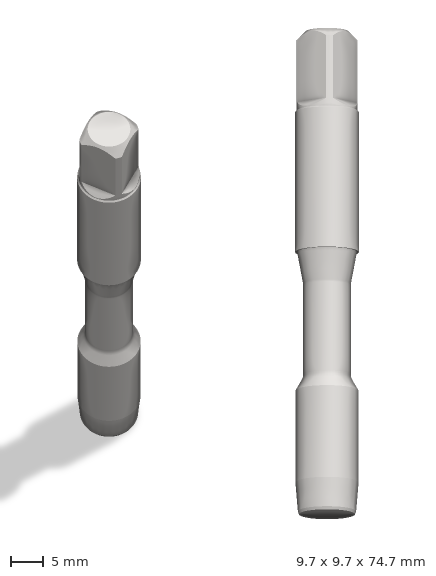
import cadquery as cq
import math


head_diameter = 9.6
head_length = 19.1
lead_length = 4.9
lead_end_diameter = 8.9
tip_chamfer_height = 0.45
tip_diameter = 8.5

neck_diameter = 7.25
neck_fillet_radius = 1.5
lower_taper_angle = 30
upper_taper_diameter = 9.1
upper_taper_top_z = 40.55
upper_taper_angle = 10.6

total_length = 74.7
shank_diameter = 9.7
shank_top_z = 62.2
shank_chamfer = 0.2
drive_diameter = shank_diameter - 2 * shank_chamfer
drive_width = 7.25
drive_flat_bottom_z = 63.65
drive_tip_diameter = 6.5


def taper_height(large_diameter, angle):
    """Height of a cone between a large diameter and the neck."""
    return (large_diameter - neck_diameter) / 2 / math.tan(math.radians(angle))


def fillet_points(corner_z, angle, direction):
    """Neck, middle and taper points of the fillet arc; direction points from taper to neck."""
    turn = math.radians(angle)
    center_radius = neck_diameter / 2 + neck_fillet_radius
    center_z = corner_z + direction * neck_fillet_radius * math.tan(turn / 2)
    return [
        (
            center_radius - neck_fillet_radius * math.cos(t),
            center_z - direction * neck_fillet_radius * math.sin(t),
        )
        for t in (0, turn / 2, turn)
    ]


def make_cutting_head():
    return (
        cq.Workplane("XZ")
        .polyline([
            (0, 0),
            (tip_diameter / 2, 0),
            (lead_end_diameter / 2, tip_chamfer_height),
            (head_diameter / 2, lead_length),
            (head_diameter / 2, head_length),
            (0, head_length),
        ])
        .close()
        .revolve(360, (0, 0), (0, 1))
    )


def make_shank_blank():
    lower_corner_z = head_length + taper_height(head_diameter, lower_taper_angle)
    upper_corner_z = upper_taper_top_z - taper_height(upper_taper_diameter, upper_taper_angle)
    lower_neck, lower_middle, lower_taper = fillet_points(lower_corner_z, lower_taper_angle, 1)
    upper_neck, upper_middle, upper_taper = fillet_points(upper_corner_z, upper_taper_angle, -1)
    drive_chamfer = (drive_diameter - drive_tip_diameter) / 2
    return (
        cq.Workplane("XZ")
        .moveTo(0, head_length)
        .lineTo(head_diameter / 2, head_length)
        .lineTo(*lower_taper)
        .threePointArc(lower_middle, lower_neck)
        .lineTo(*upper_neck)
        .threePointArc(upper_middle, upper_taper)
        .lineTo(upper_taper_diameter / 2, upper_taper_top_z)
        .lineTo(shank_diameter / 2, upper_taper_top_z)
        .lineTo(shank_diameter / 2, shank_top_z)
        .lineTo(drive_diameter / 2, shank_top_z + shank_chamfer)
        .lineTo(drive_diameter / 2, total_length - drive_chamfer)
        .lineTo(drive_tip_diameter / 2, total_length)
        .lineTo(0, total_length)
        .close()
        .revolve(360, (0, 0), (0, 1))
    )


def make_flat_cutter():
    """Material beside one drive flat, ending below in a 45 degree run-out."""
    inner = drive_width / 2
    outer = shank_diameter
    run_out_drop = outer - inner
    return (
        cq.Workplane("XZ")
        .polyline([
            (inner, total_length),
            (inner, drive_flat_bottom_z),
            (outer, drive_flat_bottom_z - run_out_drop),
            (outer, total_length),
        ])
        .close()
        .extrude(shank_diameter / 2, both=True)
    )


def make_shank():
    shank = make_shank_blank()
    flat_cutter = make_flat_cutter()
    for angle in (0, 90, 180, 270):
        shank = shank.cut(flat_cutter.rotate((0, 0, 0), (0, 0, 1), angle))
    return shank


cutting_head = make_cutting_head()
shank = make_shank()

result = cq.Compound.makeCompound([cutting_head.val(), shank.val()])